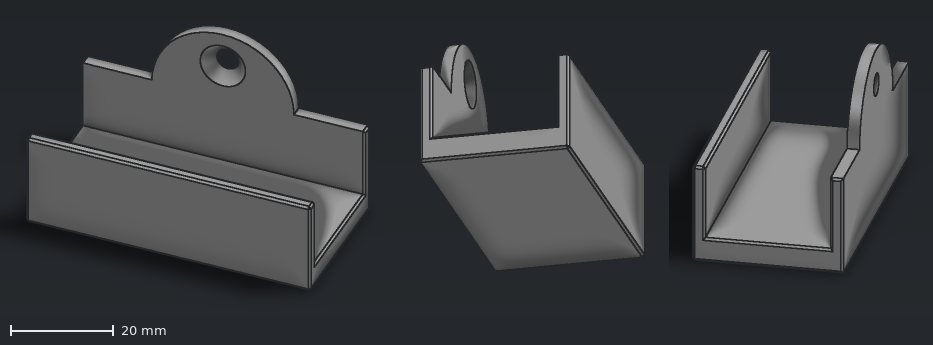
import cadquery as cq

length = 60.0
depth = 30.0
height = 20.0
wall = 2.5
floor = 5.0
edge_chamfer = 0.5

tab_radius = length / 4
hole_diameter = 4.5
hole_height = height + tab_radius / 2
countersink_diameter = hole_diameter + 2 * wall

front_y = -depth / 2
back_y = depth / 2
tab_front_y = back_y - wall


def make_channel():
    """U-shaped channel along X with chamfered ends and front wall."""
    block = cq.Workplane("XY").box(length, depth, height, centered=(True, True, False))
    cavity = (
        cq.Workplane("XY")
        .workplane(offset=floor)
        .rect(length, depth - 2 * wall)
        .extrude(height - floor)
    )
    channel = block.cut(cavity)

    end_edges = channel.faces("<X or >X").edges()
    front_edges = channel.faces("<Y").edges("|X")
    inner_lip = channel.edges(cq.selectors.NearestToPointSelector((0, front_y + wall, height)))
    chamfered_edges = end_edges.add(front_edges).add(inner_lip)
    return channel.newObject(chamfered_edges.vals()).chamfer(edge_chamfer)


def make_tab():
    """Half disc standing on the back wall."""
    return (
        cq.Workplane("XZ", origin=(0, back_y, height))
        .moveTo(-tab_radius, 0)
        .threePointArc((0, tab_radius), (tab_radius, 0))
        .close()
        .extrude(wall)
    )


def make_screw_hole():
    """Conical hole, wide at the channel side and narrow at the back."""
    return (
        cq.Workplane("XZ", origin=(0, tab_front_y, hole_height))
        .circle(countersink_diameter / 2)
        .workplane(offset=-wall)
        .circle(hole_diameter / 2)
        .loft(ruled=True)
    )


result = make_channel().union(make_tab()).cut(make_screw_hole())